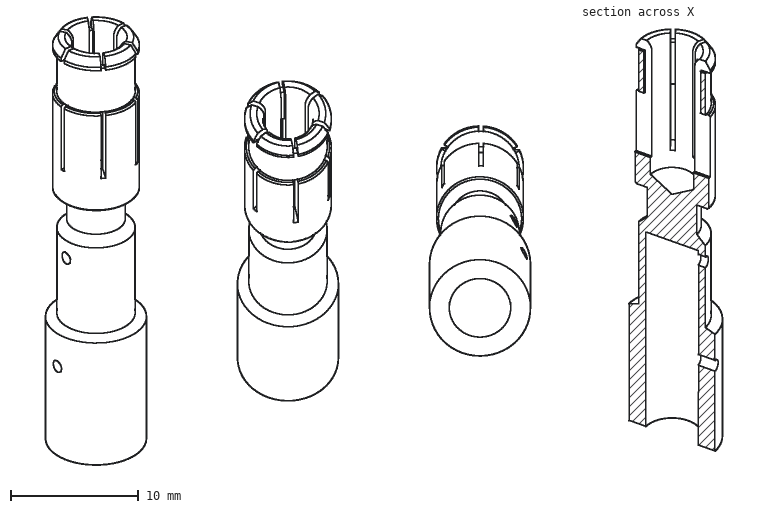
import cadquery as cq
import math

length = 36.95
barrel_radius = 3.95
shank_radius = 3.05
neck_radius = 2.3
collar_radius = 3.4

barrel_top = 11.25
shank_bottom = 11.55
neck_bottom = 20.2
collar_bottom = 23.0
collar_top = 31.92
head_bottom = 35.95
head_cone_bottom = 36.25

shank_chamfer = shank_radius - neck_radius
collar_chamfer = 0.15
head_top_radius = 2.95

ring_radius = 3.05
groove_radius = 2.6

socket_radius = 1.95
socket_mouth_radius = 2.45
mouth_arc_radius = 1.0
socket_floor = 24.4
drill_tip_angle = 118.0

slot_count = 3
slot_width = 0.37
slot_bottom = 26.0

wire_bore_radius = 2.4
wire_bore_depth = 18.65
inspection_hole_diameter = 1.0
inspection_hole_heights = (8.2, 17.8)


def turned_body():
    outline = (
        cq.Workplane("XZ")
        .moveTo(0, 0)
        .lineTo(barrel_radius, 0)
        .lineTo(barrel_radius, barrel_top)
        .lineTo(shank_radius, shank_bottom)
        .lineTo(shank_radius, neck_bottom - shank_chamfer)
        .lineTo(neck_radius, neck_bottom)
        .lineTo(neck_radius, collar_bottom)
        .lineTo(collar_radius - collar_chamfer, collar_bottom)
        .lineTo(collar_radius, collar_bottom + collar_chamfer)
        .lineTo(collar_radius, collar_top - collar_chamfer)
        .lineTo(collar_radius - collar_chamfer, collar_top)
        .lineTo(groove_radius, collar_top)
        .lineTo(groove_radius, head_bottom)
        .lineTo(collar_radius, head_bottom)
        .lineTo(collar_radius, head_cone_bottom)
        .lineTo(head_top_radius, length)
        .lineTo(0, length)
        .close()
    )
    return outline.revolve(360, (0, 0), (0, 1))


def contact_socket():
    """Drilled socket whose rounded mouth runs tangent into the bore."""
    tip_depth = socket_radius / math.tan(math.radians(drill_tip_angle / 2))
    arc_center_radius = socket_radius + mouth_arc_radius
    mouth_offset = arc_center_radius - socket_mouth_radius
    mouth_depth = math.sqrt(mouth_arc_radius**2 - mouth_offset**2)
    arc_bottom = length - mouth_depth
    mid_angle = math.asin(mouth_depth / mouth_arc_radius) / 2
    arc_middle = (
        arc_center_radius - mouth_arc_radius * math.cos(mid_angle),
        arc_bottom + mouth_arc_radius * math.sin(mid_angle),
    )
    outline = (
        cq.Workplane("XZ")
        .moveTo(0, socket_floor - tip_depth)
        .lineTo(socket_radius, socket_floor)
        .lineTo(socket_radius, arc_bottom)
        .threePointArc(arc_middle, (socket_mouth_radius, length))
        .lineTo(0, length)
        .close()
    )
    return outline.revolve(360, (0, 0), (0, 1))


def finger_slots():
    """Slots across the full diameter, evenly turned from the Y axis."""
    slots = cq.Workplane("XY")
    for index in range(slot_count):
        slot = (
            cq.Workplane("XY", origin=(0, 0, slot_bottom))
            .rect(slot_width, 2 * barrel_radius)
            .extrude(length - slot_bottom)
            .rotate((0, 0, 0), (0, 0, 1), index * 180 / slot_count)
        )
        slots = slots.add(slot)
    return slots.combine()


def retaining_ring():
    """Unslotted ring around the fingers."""
    return (
        cq.Workplane("XY", origin=(0, 0, collar_top))
        .circle(ring_radius)
        .circle(groove_radius)
        .extrude(head_bottom - collar_top)
    )


def wire_bore():
    return cq.Workplane("XY").circle(wire_bore_radius).extrude(wire_bore_depth)


def inspection_hole(height):
    """Radial hole from the axis out through the -Y wall."""
    return (
        cq.Workplane("XZ", origin=(0, 0, height))
        .circle(inspection_hole_diameter / 2)
        .extrude(barrel_radius)
    )


result = turned_body().cut(contact_socket()).cut(finger_slots())
result = result.union(retaining_ring()).cut(wire_bore())
for hole_height in inspection_hole_heights:
    result = result.cut(inspection_hole(hole_height))